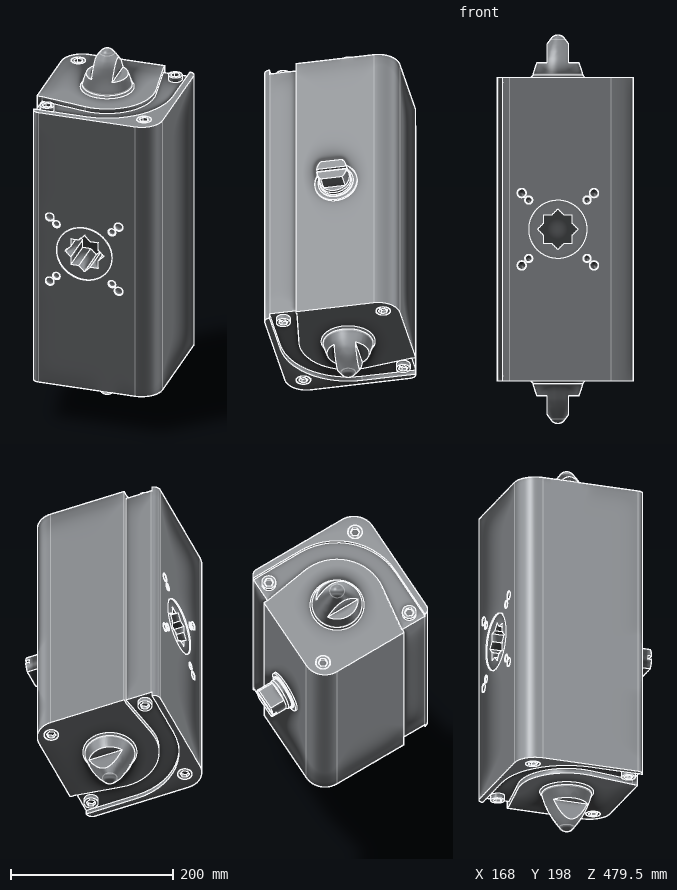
import cadquery as cq
import math


TOTAL_HEIGHT = 479.5
BLOCK_HEIGHT = 374.5
DOME_HEIGHT = (TOTAL_HEIGHT - BLOCK_HEIGHT) / 2
BLOCK_TOP = BLOCK_HEIGHT / 2
WIDTH = 168.0
NEAR = 75.0
FAR = WIDTH - NEAR
STEP_FACE = 68.0
STEP_START = 51.0
CORNER_RADIUS = 27.5
SMALL_CORNER_RADIUS = 8.5
NOTCH_EDGE_RADIUS = 1.0

CHANNEL_DEPTH = 6.0
CHANNEL_INNER_RADIUS = 61.0
CHANNEL_OUTER_RADIUS = 85.5

SCREW_PITCH = 125.5
SCREW_SHIFT = 1.5
SCREW_CENTER = (FAR - NEAR) / 2 - SCREW_SHIFT
HEAD_DIAMETER = 17.3
COUNTERBORE_DIAMETER = 18.0
SOCKET_CORNERS = 11.5
SOCKET_DEPTH = 5.0

LIP_RADIUS = 66.5 / 2
LIP_TOP_RADIUS = 62.0 / 2
LIP_HEIGHT = 3.0
BAND_TOP = 4.5
DOME_BASE_RADIUS = 61.5 / 2
DOME_MID_RADIUS = 23.0
DOME_MID_HEIGHT = 25.0
TIP_RADIUS = 18.0 / 2
TIP_START = 47.0
FLAT_OFFSET = 13.5
FLAT_SHOULDER = 18.0

MOUNTING_HOLES = [(44.5, 11.5, 10.0), (36.0, 10.0, 8.0)]
HOLE_DEPTH = 17.0
DRILL_TIP_ANGLE = 118.0

SHAFT_END = 198.0 - FAR
FRONT_DIAMETER = 72.0
FRONT_RECESS = 1.5
FRONT_LENGTH = 72.0
REAR_DIAMETER = 53.0
REAR_STANDOUT = 2.5
COLLAR_DIAMETER = 44.0
COLLAR_LENGTH = 1.5
NECK_DIAMETER = 40.0
NECK_LENGTH = 3.0
DRIVE_DIAMETER = 37.5
DRIVE_THICKNESS = 26.0
DRIVE_LENGTH = 19.0
SLOT_WIDTH = 4.5
SLOT_DEPTH = 5.0
STAR_SIDE = 35.5
STAR_DEPTH = 48.0

FRONT_END = -FAR + FRONT_LENGTH
REAR_END = NEAR + REAR_STANDOUT
COLLAR_END = REAR_END + COLLAR_LENGTH
SHOULDER = SHAFT_END - DRIVE_LENGTH


def diagonal_mirror(point):
    """Reflect an XY point in the section's diagonal x = -y."""
    x, y = point
    return (-y, -x)


def block():
    half = [(-NEAR, NEAR), (STEP_START, NEAR), (STEP_START, STEP_FACE), (FAR, STEP_FACE), (FAR, -FAR)]
    other_half = [diagonal_mirror(p) for p in reversed(half[1:-1])]
    base = cq.Workplane("XY", origin=(0, 0, -BLOCK_TOP))
    body = base.polyline(half + other_half).close().extrude(BLOCK_HEIGHT)
    rounds = [
        (CORNER_RADIUS, [half[0], half[4]]),
        (SMALL_CORNER_RADIUS, [half[3], diagonal_mirror(half[3])]),
        (NOTCH_EDGE_RADIUS, [half[1], diagonal_mirror(half[1])]),
    ]
    for radius, corners in rounds:
        for x, y in corners:
            body = body.edges(cq.NearestToPointSelector((x, y, 0))).fillet(radius)
    return body


def channel():
    """Channel in the top end face: tangent-sided pad inside, quarter arc outside."""
    pad_corner = (STEP_START, STEP_FACE)
    corner_angle = math.atan2(STEP_FACE, STEP_START)
    tangent_angle = corner_angle - math.acos(CHANNEL_INNER_RADIUS / math.hypot(*pad_corner))
    tangent = (
        CHANNEL_INNER_RADIUS * math.cos(tangent_angle),
        CHANNEL_INNER_RADIUS * math.sin(tangent_angle),
    )
    inner_mid = CHANNEL_INNER_RADIUS * math.sqrt(0.5)
    outer_mid = CHANNEL_OUTER_RADIUS * math.sqrt(0.5)
    return (
        cq.Workplane("XY", origin=(0, 0, BLOCK_TOP - CHANNEL_DEPTH))
        .moveTo(*pad_corner)
        .lineTo(CHANNEL_OUTER_RADIUS, STEP_FACE)
        .lineTo(CHANNEL_OUTER_RADIUS, 0)
        .threePointArc((outer_mid, -outer_mid), (0, -CHANNEL_OUTER_RADIUS))
        .lineTo(-STEP_FACE, -CHANNEL_OUTER_RADIUS)
        .lineTo(*diagonal_mirror(pad_corner))
        .lineTo(*diagonal_mirror(tangent))
        .threePointArc((inner_mid, -inner_mid), tangent)
        .close()
        .extrude(CHANNEL_DEPTH)
    )


def on_screws(plane):
    """Select the four screw positions on a plane."""
    pattern = plane.center(SCREW_CENTER, -SCREW_CENTER)
    return pattern.rect(SCREW_PITCH, SCREW_PITCH, forConstruction=True).vertices()


def screw_counterbores():
    plane = cq.Workplane("XY", origin=(0, 0, BLOCK_TOP - CHANNEL_DEPTH))
    return on_screws(plane).circle(COUNTERBORE_DIAMETER / 2).extrude(CHANNEL_DEPTH)


def screw_heads():
    seat = cq.Workplane("XY", origin=(0, 0, BLOCK_TOP - CHANNEL_DEPTH))
    heads = on_screws(seat).circle(HEAD_DIAMETER / 2).extrude(CHANNEL_DEPTH)
    socket_floor = cq.Workplane("XY", origin=(0, 0, BLOCK_TOP - SOCKET_DEPTH))
    return heads.cut(on_screws(socket_floor).polygon(6, SOCKET_CORNERS).extrude(SOCKET_DEPTH))


def dome():
    """Domed boss on the top end face, with a flat on each X side."""
    profile = (
        cq.Workplane("XZ")
        .lineTo(LIP_RADIUS, 0)
        .lineTo(LIP_TOP_RADIUS, LIP_HEIGHT)
        .lineTo(DOME_BASE_RADIUS, BAND_TOP)
        .threePointArc((DOME_MID_RADIUS, DOME_MID_HEIGHT), (TIP_RADIUS, TIP_START))
    )
    cap_height = DOME_HEIGHT - TIP_START
    cap_radius = (TIP_RADIUS**2 + cap_height**2) / (2 * cap_height)
    cap_half_angle = math.asin(TIP_RADIUS / cap_radius) / 2
    cap_mid = (
        cap_radius * math.sin(cap_half_angle),
        DOME_HEIGHT - cap_radius * (1 - math.cos(cap_half_angle)),
    )
    body = profile.threePointArc(cap_mid, (0, DOME_HEIGHT)).close().revolve(360, (0, 0), (0, 1))
    for side in (-1, 1):
        side_cut = cq.Workplane("XY").box(
            LIP_RADIUS, 2 * LIP_RADIUS, DOME_HEIGHT, centered=(True, True, False)
        )
        body = body.cut(side_cut.translate((side * (FLAT_OFFSET + LIP_RADIUS / 2), 0, FLAT_SHOULDER)))
    return body.translate((0, 0, BLOCK_TOP))


def mounting_hole(mouth, bore):
    """Countersunk hole with a drill tip, entering the front face along +Y."""
    sink = (mouth - bore) / 2
    tip = bore / 2 / math.tan(math.radians(DRILL_TIP_ANGLE / 2))
    profile = [(0, 0), (mouth / 2, 0), (bore / 2, sink), (bore / 2, HOLE_DEPTH), (0, HOLE_DEPTH + tip)]
    hole = cq.Workplane("XY").polyline(profile).close().revolve(360, (0, 0), (0, 1))
    return hole.translate((0, -FAR, 0))


def stepped_cylinder(start, steps):
    """Cylinders along +Y, end to end from start; each step is (diameter, end)."""
    body = None
    for diameter, end in steps:
        plane = cq.Workplane("XZ", origin=(0, start, 0))
        cylinder = plane.circle(diameter / 2).extrude(start - end)
        body = cylinder if body is None else body.union(cylinder)
        start = end
    return body


def make_housing():
    body = block()
    end_cuts = [channel(), screw_counterbores()]
    end_bosses = [screw_heads(), dome()]
    for cutter in end_cuts:
        body = body.cut(cutter).cut(cutter.mirror("XY"))
    for boss in end_bosses:
        body = body.union(boss).union(boss.mirror("XY"))
    for offset, mouth, bore in MOUNTING_HOLES:
        hole = mounting_hole(mouth, bore)
        for x_side in (-1, 1):
            for z_side in (-1, 1):
                body = body.cut(hole.translate((x_side * offset, 0, z_side * offset)))
    shaft_bore = stepped_cylinder(-FAR, [(FRONT_DIAMETER, FRONT_END), (REAR_DIAMETER, NEAR)])
    return body.cut(shaft_bore)


def star_socket(front):
    """Eight-pointed socket: two square prisms turned 45 degrees to each other."""
    square = cq.Workplane("XZ", origin=(0, front, 0)).rect(STAR_SIDE, STAR_SIDE).extrude(-STAR_DEPTH)
    return square.union(square.rotate((0, 0, 0), (0, 1, 0), 45))


def make_shaft():
    front = -FAR + FRONT_RECESS
    body = stepped_cylinder(
        front,
        [
            (FRONT_DIAMETER, FRONT_END),
            (REAR_DIAMETER, REAR_END),
            (COLLAR_DIAMETER, COLLAR_END),
            (NECK_DIAMETER, SHOULDER - NECK_LENGTH),
        ],
    )
    neck_plane = cq.Workplane("XZ", origin=(0, SHOULDER - NECK_LENGTH, 0))
    neck = (
        neck_plane.circle(NECK_DIAMETER / 2)
        .workplane(offset=-NECK_LENGTH)
        .circle(DRIVE_DIAMETER / 2)
        .loft()
    )
    drive_plane = cq.Workplane("XZ", origin=(0, SHOULDER, 0))
    drive = drive_plane.circle(DRIVE_DIAMETER / 2).extrude(-DRIVE_LENGTH)
    drive = drive.intersect(drive_plane.rect(DRIVE_DIAMETER, DRIVE_THICKNESS).extrude(-DRIVE_LENGTH))
    slot_plane = cq.Workplane("XZ", origin=(0, SHAFT_END - SLOT_DEPTH, 0))
    slot = slot_plane.rect(DRIVE_DIAMETER, SLOT_WIDTH).extrude(-SLOT_DEPTH)
    return body.union(neck).union(drive).cut(slot).cut(star_socket(front))


housing = make_housing()
shaft = make_shaft()

result = cq.Compound.makeCompound([housing.val(), shaft.val()])